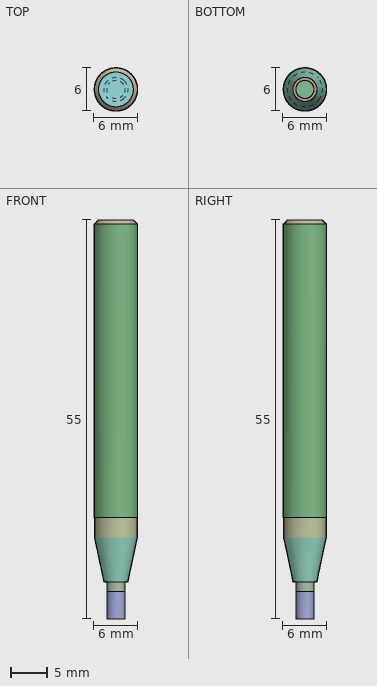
import cadquery as cq
import math

total_length = 55.0
shank_diameter = 6.0
shank_start = 14.0
shank_end_chamfer = 0.6

collar_diameter = 5.9
collar_start = 11.2

taper_start = 5.1
taper_half_angle = 12.0

cutter_diameter = 2.5
cutter_length = 3.8
neck_diameter = cutter_diameter

taper_length = collar_start - taper_start
taper_small_radius = collar_diameter / 2 - taper_length * math.tan(math.radians(taper_half_angle))


def make_cutter():
    """Plain cylindrical cutting head at the tip."""
    return cq.Workplane("XY").circle(cutter_diameter / 2).extrude(cutter_length)


def make_holder():
    """Neck, taper, collar and chamfered shank, turned as one half profile about Z."""
    shank_radius = shank_diameter / 2
    collar_radius = collar_diameter / 2
    neck_radius = neck_diameter / 2
    half_profile = (
        cq.Workplane("XZ")
        .moveTo(0, cutter_length)
        .lineTo(neck_radius, cutter_length)
        .lineTo(neck_radius, taper_start)
        .lineTo(taper_small_radius, taper_start)
        .lineTo(collar_radius, collar_start)
        .lineTo(collar_radius, shank_start)
        .lineTo(shank_radius, shank_start)
        .lineTo(shank_radius, total_length - shank_end_chamfer)
        .lineTo(shank_radius - shank_end_chamfer, total_length)
        .lineTo(0, total_length)
        .close()
    )
    return half_profile.revolve(360, (0, 0, 0), (0, 1, 0))


cutter = make_cutter()
holder = make_holder()

result = cq.Compound.makeCompound([cutter.val(), holder.val()])